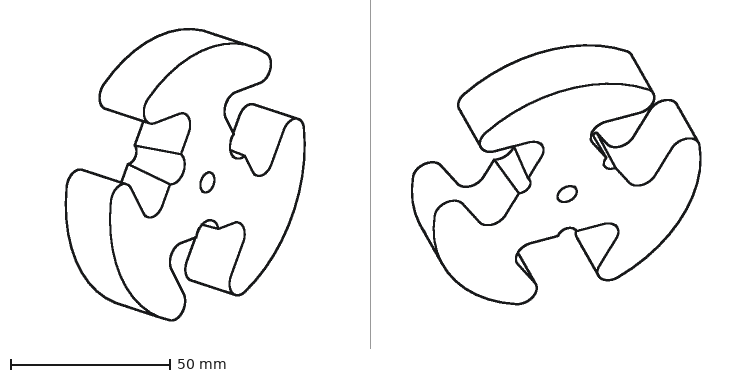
import cadquery as cq
import math

thickness = 19.0
outer_radius = 45.0
bore_diameter = 6.5
hub_flat_distance = 17.0
arm_underside_distance = 26.6
edge_radius = 5.0
slot_reach = outer_radius + 1.8
slot_angles = (0, 120, 240)

groove_axis_distance = 18.0
groove_start_radius = bore_diameter / 2
groove_end_radius = 5.1


def slot_half_width(distance):
    """Half-width of a slot whose walls are the inner faces of two arm heads 120 degrees apart."""
    arm_tilt = math.radians(30)
    return (arm_underside_distance - distance * math.sin(arm_tilt)) / math.cos(arm_tilt)


def make_slot():
    floor_half = slot_half_width(hub_flat_distance)
    mouth_half = slot_half_width(slot_reach)
    outline = [
        (-floor_half, -hub_flat_distance),
        (floor_half, -hub_flat_distance),
        (mouth_half, -slot_reach),
        (-mouth_half, -slot_reach),
    ]
    return cq.Workplane("YZ").polyline(outline).close().extrude(thickness)


def make_groove():
    """Cone that widens towards +X, on an axis parallel to the wheel axis."""
    return cq.Workplane(cq.Solid.makeCone(
        groove_start_radius,
        groove_end_radius,
        thickness,
        cq.Vector(0, 0, -groove_axis_distance),
        cq.Vector(1, 0, 0),
    ))


def cut_in_every_slot(body, cutter):
    for angle in slot_angles:
        body = body.cut(cutter.rotate((0, 0, 0), (1, 0, 0), angle))
    return body


seam_angle = 30
disc = cq.Workplane("YZ").circle(outer_radius).extrude(thickness)
disc = disc.rotate((0, 0, 0), (1, 0, 0), seam_angle)

body = cut_in_every_slot(disc, make_slot())
body = body.edges("|X").fillet(edge_radius)
body = cut_in_every_slot(body, make_groove())

bore = cq.Workplane("YZ").circle(bore_diameter / 2).extrude(thickness)
result = body.cut(bore)